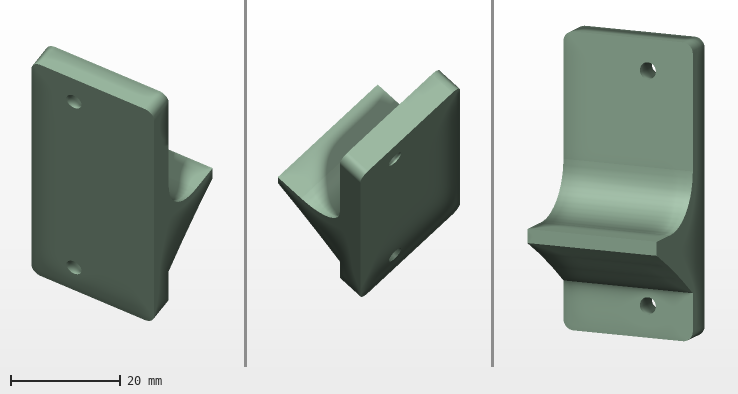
import cadquery as cq

plate_width = 26.0
plate_height = 56.0
plate_thickness = 5.25
corner_radius = 2.0

hole_diameter = 3.2
hole_side_offset = 9.0
hole_end_offset = 6.0

total_depth = 21.2
shelf_top = 22.05
tip_thickness = 2.65
brace_foot = 9.2
fillet_radius = 9.9
underside_hollow = 0.35


def make_plate():
    plate = cq.Workplane("XY").box(plate_width, plate_thickness, plate_height, centered=False)
    plate = plate.edges("|Y").fillet(corner_radius)
    hole_centres = [
        (hole_side_offset, hole_end_offset),
        (hole_side_offset, plate_height - hole_end_offset),
    ]
    holes = (
        cq.Workplane("XZ")
        .pushPoints(hole_centres)
        .circle(hole_diameter / 2)
        .extrude(-plate_thickness)
    )
    return plate.cut(holes)


def make_shelf():
    tip_bottom = shelf_top - tip_thickness
    fillet_end = (plate_thickness + fillet_radius, shelf_top)
    return (
        cq.Workplane("YZ")
        .moveTo(plate_thickness, brace_foot)
        .sagittaArc((total_depth, tip_bottom), underside_hollow)
        .lineTo(total_depth, shelf_top)
        .lineTo(*fillet_end)
        .radiusArc((plate_thickness, shelf_top + fillet_radius), fillet_radius)
        .close()
        .extrude(plate_width)
    )


result = make_plate().union(make_shelf())